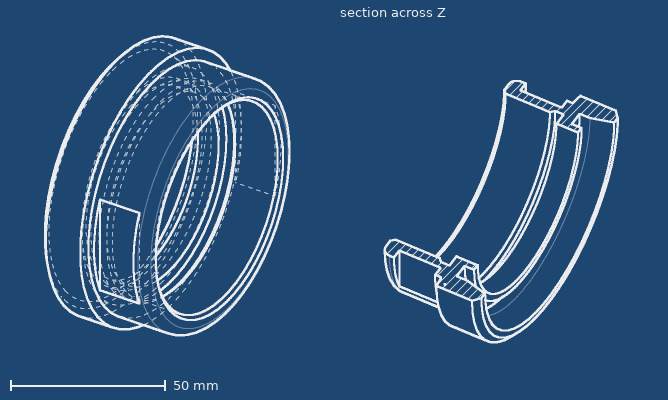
import cadquery as cq

length = 38.0
flange_radius = 47.5
flange_end = 15.3
flange_chamfer_length = 2.1
flange_chamfer_depth = 2.5

body_radius = 43.5
body_start = 15.9
body_edge_fillet = 3.0

flat_start = 18.05
flat_end = 33.25
flat_offset = 40.0

mouth_radius = 85.1 / 2
seat_radius = 80.8 / 2
lip_outer_radius = 71.0 / 2
lip_inner_radius = 66.0 / 2
relief_radius = 75.1 / 2
rear_bore_radius = 72.6 / 2
taper_end = 7.8
seat_end = 11.6
lip_start = 8.1
lip_end = 16.1
rear_bore_start = 20.3
rear_bore_bevel = relief_radius - rear_bore_radius


def ring_body():
    """Revolve the outside profile, with the tapered shoulder behind the flange."""
    profile = [
        (0, 0),
        (0, flange_radius - flange_chamfer_depth),
        (flange_chamfer_length, flange_radius),
        (flange_end, flange_radius),
        (body_start, body_radius),
        (length, body_radius),
        (length, 0),
    ]
    body = cq.Workplane("XY").polyline(profile).close().revolve(360, (0, 0, 0), (1, 0, 0))
    return body.faces(">X").edges().fillet(body_edge_fillet)


def stepped_bore():
    """Revolve the space inside the ring."""
    profile = [
        (0, 0),
        (0, mouth_radius),
        (taper_end, seat_radius),
        (seat_end, seat_radius),
        (seat_end, lip_outer_radius),
        (lip_start, lip_outer_radius),
        (lip_start, lip_inner_radius),
        (lip_end, lip_inner_radius),
        (lip_end, relief_radius),
        (rear_bore_start - rear_bore_bevel, relief_radius),
        (rear_bore_start, rear_bore_radius),
        (length - rear_bore_bevel, rear_bore_radius),
        (length, relief_radius),
        (length, 0),
    ]
    return cq.Workplane("XY").polyline(profile).close().revolve(360, (0, 0, 0), (1, 0, 0))


def wrench_flat(side):
    """Block that cuts one flat; side is -1 or +1 along Y."""
    depth = flange_radius - flat_offset
    center = ((flat_start + flat_end) / 2, side * (flat_offset + depth / 2), 0)
    return cq.Workplane("XY").box(flat_end - flat_start, depth, 2 * flange_radius).translate(center)


result = ring_body().cut(stepped_bore())
for side in (-1, 1):
    result = result.cut(wrench_flat(side))